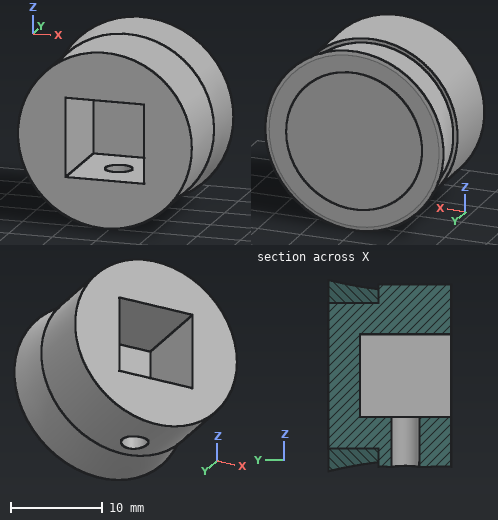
import cadquery as cq

overall_length = 13.5
body_diameter = 20.0
body_length = 8.0
spigot_diameter = 16.0
neck_diameter = 19.0
rim_diameter = 21.0
flare_sag = 0.08
rim_bevel_depth = 0.06
rim_bevel_width = 0.5
socket_width = 9.0
socket_depth = 10.0
cross_hole_diameter = 3.0
cross_hole_setback = 5.05

front_y = -overall_length / 2
joint_y = front_y + body_length
back_y = overall_length / 2
rim_y = back_y - rim_bevel_depth


def make_socket_body():
    """Cylinder with a rear spigot, a square socket and a cross hole in its lower wall."""
    front_plane = cq.Workplane("XZ", origin=(0, front_y, 0))
    cylinder = front_plane.circle(body_diameter / 2).extrude(-body_length)
    spigot = front_plane.circle(spigot_diameter / 2).extrude(-overall_length)
    socket = front_plane.rect(socket_width, socket_width).extrude(-socket_depth)
    cross_hole = (
        cq.Workplane("XY", origin=(0, front_y + cross_hole_setback, 0))
        .circle(cross_hole_diameter / 2)
        .extrude(-body_diameter / 2)
    )
    return cylinder.union(spigot).cut(socket).cut(cross_hole)


def make_flared_ring():
    """Ring with a concave flank, fitted around the spigot behind the cylinder."""
    bore_radius = spigot_diameter / 2
    neck_radius = neck_diameter / 2
    rim_radius = rim_diameter / 2
    middle_point = ((neck_radius + rim_radius) / 2 - flare_sag, (joint_y + rim_y) / 2)
    return (
        cq.Workplane("XY")
        .moveTo(bore_radius, joint_y)
        .lineTo(neck_radius, joint_y)
        .threePointArc(middle_point, (rim_radius, rim_y))
        .lineTo(rim_radius - rim_bevel_width, back_y)
        .lineTo(bore_radius, back_y)
        .close()
        .revolve(360, (0, 0, 0), (0, 1, 0))
    )


socket_body = make_socket_body()
flared_ring = make_flared_ring()

result = cq.Compound.makeCompound([socket_body.val(), flared_ring.val()])